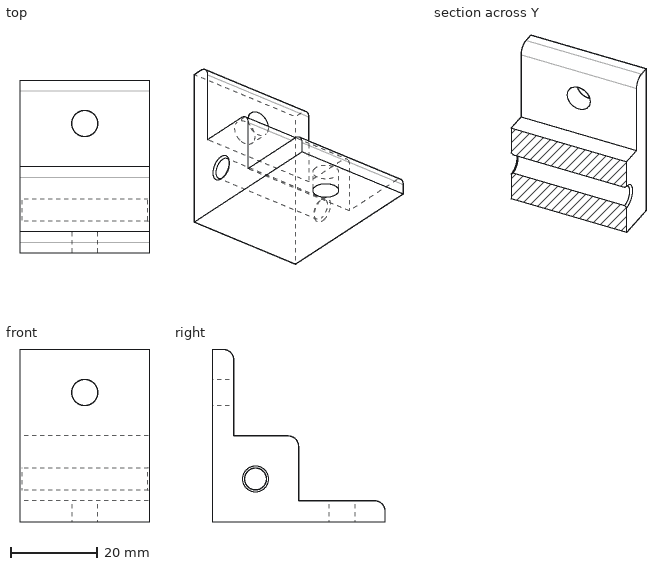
import cadquery as cq

width = 30.0
leg_length = 40.0
leg_thickness = 5.0
block_size = 20.0
edge_radius = 2.5

mount_hole_diameter = 6.0
mount_hole_position = (block_size + leg_length) / 2
cross_hole_diameter = 5.0
cross_hole_mouth_diameter = 6.0
cross_hole_position = block_size / 2
mouth_depth = (cross_hole_mouth_diameter - cross_hole_diameter) / 2


def make_body():
    """Stepped L-profile in the YZ plane, extruded along X and rounded."""
    profile = [
        (0, 0),
        (leg_length, 0),
        (leg_length, leg_thickness),
        (block_size, leg_thickness),
        (block_size, block_size),
        (leg_thickness, block_size),
        (leg_thickness, leg_length),
        (0, leg_length),
    ]
    rounded_corners = [
        (leg_length, leg_thickness),
        (block_size, block_size),
        (leg_thickness, leg_length),
    ]
    body = cq.Workplane("YZ").polyline(profile).close().extrude(width)
    for y, z in rounded_corners:
        edge = cq.selectors.NearestToPointSelector((width / 2, y, z))
        body = body.edges(edge).fillet(edge_radius)
    return body


def make_mount_hole(plane, direction):
    """Cutter for the plain hole through one leg, centred across the width."""
    return (
        cq.Workplane(plane)
        .center(width / 2, mount_hole_position)
        .circle(mount_hole_diameter / 2)
        .extrude(direction * leg_thickness)
    )


def make_cross_hole():
    """Cutter for the hole along X through the block, flared 45 degrees at both mouths."""
    bore_radius = cross_hole_diameter / 2
    mouth_radius = cross_hole_mouth_diameter / 2
    half_section = [
        (0, 0),
        (0, mouth_radius),
        (mouth_depth, bore_radius),
        (width - mouth_depth, bore_radius),
        (width, mouth_radius),
        (width, 0),
    ]
    cutter = cq.Workplane("XY").polyline(half_section).close().revolve(360, (0, 0), (1, 0))
    return cutter.translate((0, cross_hole_position, cross_hole_position))


upright_hole = make_mount_hole("XZ", -1)
base_hole = make_mount_hole("XY", 1)

result = make_body().cut(upright_hole).cut(base_hole).cut(make_cross_hole())